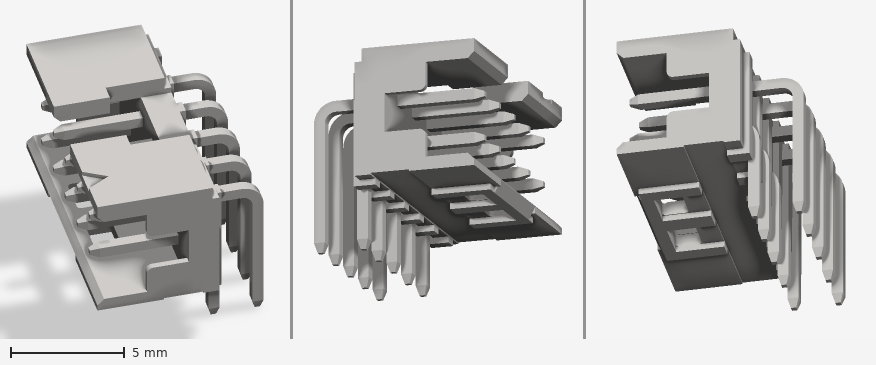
import cadquery as cq
import math


columns = 5
pitch = 12 / 6
pin_width = 0.5
bend_radius = 2 * pin_width
tip_length = 0.43
tip_width = 0.24
pin_front = 0.15
pin_bottom = -2.82
lower_row_z = 1.78
rear_row_y = 8.04

length = 12.0
depth = 5.55
wall_front = 4.16
floor_thickness = 0.59
roof_underside = 4.91
roof_top = 5.8
lead_in = 0.3
rear_step_depth = 0.31
rear_step_z = 5.2
key_half_width = 1.38
key_rear_half_width = 2.09
key_shoulder_y = 2.55

arm_thickness = 0.29
arm_front = 2.25
arm_radius = 0.3
side_opening_bottom = 1.88
side_opening_top = 3.65

window_inner = 0.48
window_outer = 2.25
window_front = 0.85
window_rear = 2.05
window_radius = 0.18

standoff = 0.28
rib_count = 6
rib_width = 0.62
foot_front = 4.82
pad_rear = 3.02
pad_half_width = 2.92
pad_notch_inner = 0.43
ramp_half_width = 2.33
ramp_run = 0.3
ramp_top = floor_thickness - lead_in
relief_height = 0.07

mark_side = 1.2
mark_depth = 0.2


def box(x_range, y_range, z_range):
    """Box between the given limits on each axis."""
    size = [high - low for low, high in (x_range, y_range, z_range)]
    corner = (x_range[0], y_range[0], z_range[0])
    return cq.Workplane("XY").box(*size, centered=False).translate(corner)


def side_profile(points, width):
    """Closed (Y, Z) outline extruded symmetrically about the middle plane."""
    return cq.Workplane("YZ").polyline(points).close().extrude(width / 2, both=True)


def mirrored_spans(inner, outer):
    """The two X ranges between inner and outer distances from the middle plane."""
    return (-outer, -inner), (inner, outer)


def column_positions(count):
    """X positions of a centred row at the pin pitch."""
    return [(i - (count - 1) / 2) * pitch for i in range(count)]


def make_shell():
    """Floor, rear wall and roof in one C-shaped outline with lead-in chamfers."""
    return side_profile(
        [
            (0, 0),
            (depth, 0),
            (depth, rear_step_z),
            (depth - rear_step_depth, rear_step_z),
            (depth - rear_step_depth, roof_top),
            (0, roof_top),
            (0, roof_underside + lead_in),
            (lead_in, roof_underside),
            (wall_front, roof_underside),
            (wall_front, floor_thickness),
            (lead_in, floor_thickness),
            (0, ramp_top),
        ],
        length,
    )


def make_arms():
    """Upper and lower arms on both ends, rounded where they face the side opening."""
    arms = cq.Workplane("XY")
    arm_y = (arm_front, wall_front)
    for arm_x in mirrored_spans(length / 2 - arm_thickness, length / 2):
        lower = box(arm_x, arm_y, (floor_thickness, side_opening_bottom))
        upper = box(arm_x, arm_y, (side_opening_top, roof_underside))
        arms = arms.add(lower.edges("<Y and >Z").fillet(arm_radius))
        arms = arms.add(upper.edges("<Y and <Z").fillet(arm_radius))
    return arms


def make_key_slot():
    """Stepped opening through the middle of the roof."""
    slot_z = (roof_underside, roof_top)
    front = box((-key_half_width, key_half_width), (0, key_shoulder_y), slot_z)
    rear = box((-key_rear_half_width, key_rear_half_width), (key_shoulder_y, depth), slot_z)
    return front.union(rear)


def make_pad():
    """Front pad under the floor, notched from its rear edge to clear the windows."""
    pad_x = (-pad_half_width, pad_half_width)
    pad_z = (-standoff, 0)
    pad = box(pad_x, (ramp_run, pad_rear), pad_z)
    notch_y = (window_front, pad_rear)
    for x_range in mirrored_spans(pad_notch_inner, window_outer):
        pad = pad.cut(box(x_range, notch_y, pad_z))
    return pad


def make_ramp():
    """Middle of the pad, which slopes up to the mating face."""
    return side_profile(
        [(ramp_run, -standoff), (ramp_run, ramp_top), (0, ramp_top)],
        2 * ramp_half_width,
    )


def make_ramp_cut():
    """Wedge removed below the ramp."""
    return side_profile([(0, -standoff), (ramp_run, -standoff), (0, ramp_top)], 2 * ramp_half_width)


def make_windows():
    """Two rounded windows through the floor."""
    windows = cq.Workplane("XY")
    for x_range in mirrored_spans(window_inner, window_outer):
        window = box(x_range, (window_front, window_rear), (0, floor_thickness))
        windows = windows.add(window.edges("|Z").fillet(window_radius))
    return windows


def make_ribs():
    """L-shaped ribs up the rear wall, each with a foot under the floor."""
    rear = depth + standoff
    outline = [
        (foot_front, -standoff),
        (rear, -standoff),
        (rear, roof_underside),
        (depth, roof_underside),
        (depth, 0),
        (foot_front, 0),
    ]
    ribs = cq.Workplane("XY")
    for x in column_positions(rib_count):
        ribs = ribs.add(side_profile(outline, rib_width).translate((x, 0, 0)))
    return ribs


def make_pin_one_mark():
    """Equilateral triangle sunk in the roof above the last column."""
    x = column_positions(columns)[-1]
    apex_y = mark_side * math.sqrt(3) / 2
    return (
        cq.Workplane("XY", origin=(x, 0, roof_top - mark_depth))
        .polyline([(-mark_side / 2, 0), (mark_side / 2, 0), (0, apex_y)])
        .close()
        .extrude(mark_depth)
    )


def make_pin(row_z, tail_y):
    """Square pin bent down through a right angle, tapered at both ends.

    row_z is the centre height of the contact, tail_y the rear face of the tail.
    """
    half = pin_width / 2
    top = row_z + half
    bend_y = tail_y - bend_radius
    bend_z = top - bend_radius
    inner_radius = bend_radius - pin_width
    diagonal = math.sqrt(0.5)
    contact_start = pin_front + tip_length
    tail_end = pin_bottom + tip_length
    body = (
        cq.Workplane("YZ")
        .moveTo(contact_start, top)
        .lineTo(bend_y, top)
        .threePointArc(
            (bend_y + bend_radius * diagonal, bend_z + bend_radius * diagonal),
            (tail_y, bend_z),
        )
        .lineTo(tail_y, tail_end)
        .lineTo(tail_y - pin_width, tail_end)
        .lineTo(tail_y - pin_width, bend_z)
        .threePointArc(
            (bend_y + inner_radius * diagonal, bend_z + inner_radius * diagonal),
            (bend_y, top - pin_width),
        )
        .lineTo(contact_start, top - pin_width)
        .close()
        .extrude(half, both=True)
    )
    taper = math.degrees(math.atan((pin_width - tip_width) / 2 / tip_length))
    contact_tip = (
        cq.Workplane("XZ", origin=(0, contact_start, row_z))
        .rect(pin_width, pin_width)
        .extrude(tip_length, taper=taper)
    )
    tail_tip = (
        cq.Workplane("XY", origin=(0, tail_y - half, tail_end))
        .rect(pin_width, pin_width)
        .extrude(-tip_length, taper=taper)
    )
    return body.union(contact_tip).union(tail_tip)


relief = box((-length / 2, length / 2), (pad_rear, foot_front), (0, relief_height))

housing = make_shell().cut(make_key_slot()).cut(relief)
housing = housing.union(make_arms())
housing = housing.union(make_pad()).union(make_ramp()).cut(make_ramp_cut())
housing = housing.cut(make_windows()).union(make_ribs())
housing = housing.cut(make_pin_one_mark())

upper_pin = make_pin(lower_row_z + pitch, rear_row_y)
lower_pin = make_pin(lower_row_z, rear_row_y - pitch)
result = housing
for x in column_positions(columns):
    result = result.union(upper_pin.translate((x, 0, 0))).union(lower_pin.translate((x, 0, 0)))